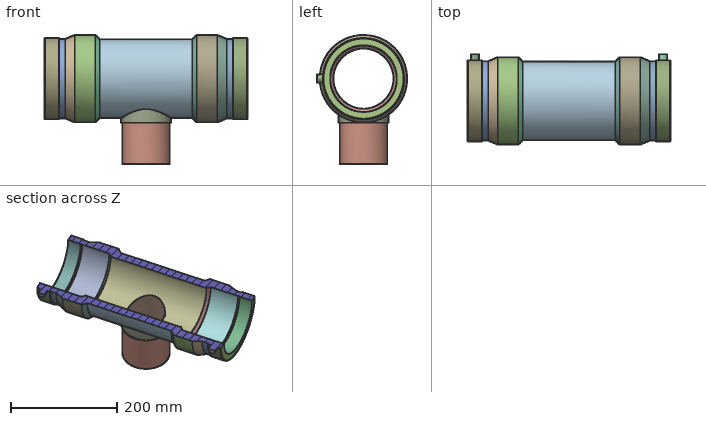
import cadquery as cq

length = 382.0
half_length = length / 2
body_radius = 148.5 / 2
bore_radius = 112.5 / 2
socket_radius = 125.0 / 2
groove_radius = 126.0 / 2
groove_start = 26.0
groove_end = 29.5
taper_start = 85.5
taper_end = 91.5

collar_radius = 153.5 / 2
neck_radius = 150.0 / 2
sleeve_radius = 165.0 / 2
collar_chamfer = 1.5
collar_end = 28.0
neck_end = 39.5
sleeve_start = 56.5
sleeve_end = 96.0
body_start = 104.0

branch_radius = 90.0 / 2
branch_collar_radius = 94.5 / 2
branch_bore_radius = 72.0 / 2
branch_bottom = -161.0
branch_collar_bottom = -sleeve_radius

pin_radius = 15.5 / 2
pin_tip = 88.0
pin_inset = collar_end / 2


def socket_outline(side):
    """Outer (x, radius) points of one socket, from the end face inward."""
    steps = [
        (0, collar_radius - collar_chamfer),
        (collar_chamfer, collar_radius),
        (collar_end - collar_chamfer, collar_radius),
        (collar_end, neck_radius),
        (neck_end, neck_radius),
        (sleeve_start, sleeve_radius),
        (sleeve_end, sleeve_radius),
        (body_start, body_radius),
    ]
    return [(side * (half_length - inset), radius) for inset, radius in steps]


def main_pipe():
    """Solid of revolution for the body and both sockets."""
    outline = socket_outline(-1) + socket_outline(1)[::-1]
    points = [(-half_length, 0)] + outline + [(half_length, 0)]
    return cq.Workplane("XY").polyline(points).close().revolve(360, (0, 0, 0), (1, 0, 0))


def bore_outline(side):
    """Inner (x, radius) points of one end, from the end face inward."""
    steps = [
        (0, socket_radius),
        (groove_start, socket_radius),
        (groove_start, groove_radius),
        (groove_end, groove_radius),
        (groove_end, socket_radius),
        (taper_start, socket_radius),
        (taper_end, bore_radius),
    ]
    return [(side * (half_length - inset), radius) for inset, radius in steps]


def main_bore():
    """Through bore that widens to a grooved socket at each end."""
    outline = bore_outline(-1) + bore_outline(1)[::-1]
    points = [(-half_length, 0)] + outline + [(half_length, 0)]
    return cq.Workplane("XY").polyline(points).close().revolve(360, (0, 0, 0), (1, 0, 0))


def vertical_cylinder(radius, bottom):
    """Cylinder from the given height up to the main pipe axis."""
    return cq.Workplane("XY").workplane(offset=bottom).circle(radius).extrude(-bottom)


def terminal_pin(side):
    """Round pin reaching from inside the collar wall to the pin tip."""
    root = (socket_radius + collar_radius) / 2
    return (
        cq.Workplane("XZ", origin=(side * (half_length - pin_inset), root, 0))
        .circle(pin_radius)
        .extrude(root - pin_tip)
    )


result = main_pipe()
result = result.union(vertical_cylinder(branch_collar_radius, branch_collar_bottom))
result = result.union(vertical_cylinder(branch_radius, branch_bottom))
for end in (-1, 1):
    result = result.union(terminal_pin(end))
result = result.cut(main_bore())
result = result.cut(vertical_cylinder(branch_bore_radius, branch_bottom))